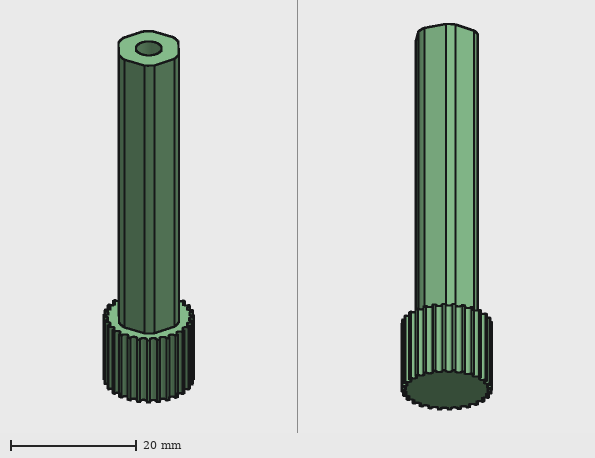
import cadquery as cq
import math

total_length = 62.5
head_height = 11.75
head_radius = 7.2

groove_count = 28
groove_radius = 0.55
groove_center_radius = 7.05

across_flats = 9.55
corner_diameter = 10.25

hole_diameter = 4.1
hole_depth = 15.6
drill_point_angle = 118.0


def grooved_head():
    """Round head with evenly spaced axial grooves, one of them on +X."""
    head = cq.Workplane("XY").circle(head_radius).extrude(head_height)
    grooves = (
        cq.Workplane("XY")
        .polarArray(groove_center_radius, 0, 360, groove_count)
        .circle(groove_radius)
        .extrude(head_height)
    )
    return head.cut(grooves)


def hex_shank():
    """Hexagon with flats facing +X and -X, trimmed by the corner cylinder."""
    hexagon_diameter = across_flats / math.cos(math.pi / 6)
    hexagon = (
        cq.Workplane("XY")
        .transformed(rotate=(0, 0, 30))
        .polygon(6, hexagon_diameter)
        .extrude(total_length)
    )
    corner_cylinder = cq.Workplane("XY").circle(corner_diameter / 2).extrude(total_length)
    return hexagon.intersect(corner_cylinder)


def drilled_hole():
    """Blind hole from the free end, closed by a conical drill point."""
    hole_radius = hole_diameter / 2
    point_length = hole_radius / math.tan(math.radians(drill_point_angle / 2))
    hole_bottom = total_length - hole_depth
    return (
        cq.Workplane("XZ")
        .moveTo(0, total_length)
        .lineTo(hole_radius, total_length)
        .lineTo(hole_radius, hole_bottom)
        .lineTo(0, hole_bottom - point_length)
        .close()
        .revolve(360, (0, 0, 0), (0, 1, 0))
    )


result = grooved_head().union(hex_shank()).cut(drilled_hole())